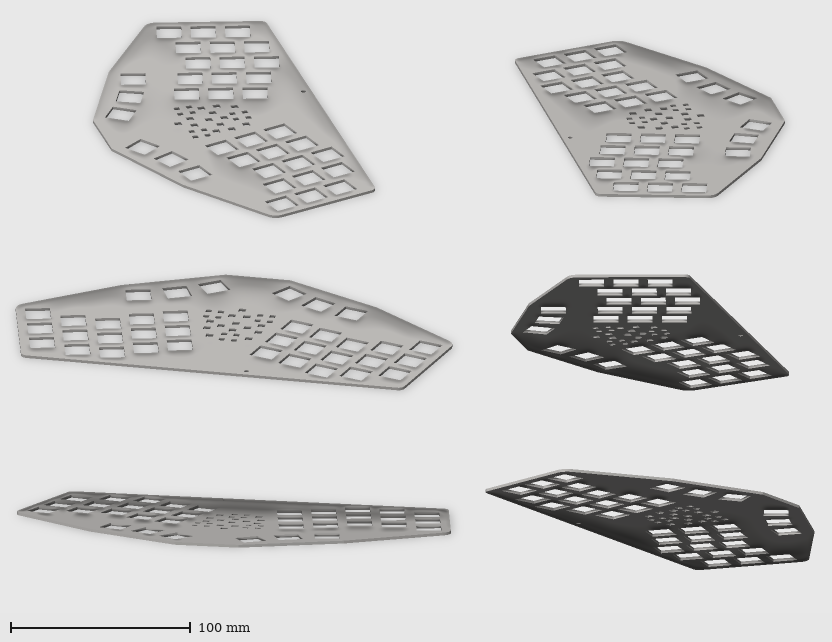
import cadquery as cq
import math

half_length = 124.0
half_depth = 63.5
thickness = 1.6
side_angle = 14.6
top_corner_radius = 3.7
side_corner_radius = 7.0
side_corner_y = 2.5
knee_x = 72.7
knee_y = -38.2
bottom_half_width = 18.4

key_size = 14.0
key_pitch = 19.0
key_tilt = 15.0
home_key = (64.5, 31.3)
column_shifts = [-7.5, -5.0, 0.0, -5.0, -15.1]
home_column = 2
rows = [-1, 0, 1]
thumb_keys = [(60.5, -27.5, 15.0), (40.2, -35.5, 25.0), (21.3, -46.5, 35.0)]

group_x = -0.2
small_size = 3.2
small_spacing_x = 7.0
small_spacing_y = 7.2
cluster_centers = [(0.0, 16.9), (-14.6, -11.2), (14.6, -11.2)]
medium_size = 4.0
medium_single_heights = [7.5, -1.5, -19.4]
medium_pairs = [(11.2, 16.9), (14.6, 7.5), (7.5, 3.0), (14.6, -1.5), (4.2, -11.2)]

pin_hole_diameter = 2.7
pin_hole_center = (-18.9, 59.0)


def make_plate():
    """Symmetric plate with leaning sides and a stepped lower edge."""
    lean = math.radians(side_angle)
    center_x = half_length - side_corner_radius

    reach_x = center_x - knee_x
    reach_y = side_corner_y - knee_y
    tangent_turn = math.asin(side_corner_radius / math.hypot(reach_x, reach_y))
    lower_slope = math.atan2(reach_y, reach_x) - tangent_turn
    lower_normal = lower_slope - math.pi / 2

    def corner_point(angle):
        """Point on the rounded side corner."""
        return (
            center_x + side_corner_radius * math.cos(angle),
            side_corner_y + side_corner_radius * math.sin(angle),
        )

    upper_tangent = corner_point(lean)
    lower_tangent = corner_point(lower_normal)
    corner_middle = corner_point(0.0)
    top_x = upper_tangent[0] - (half_depth - upper_tangent[1]) * math.tan(lean)

    def mirrored(point):
        return (-point[0], point[1])

    plate = (
        cq.Workplane("XY")
        .moveTo(-bottom_half_width, -half_depth)
        .lineTo(bottom_half_width, -half_depth)
        .lineTo(knee_x, knee_y)
        .lineTo(*lower_tangent)
        .threePointArc(corner_middle, upper_tangent)
        .lineTo(top_x, half_depth)
        .lineTo(-top_x, half_depth)
        .lineTo(*mirrored(upper_tangent))
        .threePointArc(mirrored(corner_middle), mirrored(lower_tangent))
        .lineTo(-knee_x, knee_y)
        .close()
        .extrude(thickness)
    )
    top_corners = cq.selectors.BoxSelector(
        (-half_length, half_depth - thickness, -thickness),
        (half_length, half_depth + thickness, 2 * thickness),
    )
    return plate.edges("|Z").edges(top_corners).fillet(top_corner_radius)


def right_hand_keys():
    """Centre and tilt of every key on the right half."""
    tilt = math.radians(key_tilt)
    keys = list(thumb_keys)
    for column, shift in enumerate(column_shifts):
        across = (column - home_column) * key_pitch
        for row in rows:
            along = shift + row * key_pitch
            x = home_key[0] + across * math.cos(tilt) - along * math.sin(tilt)
            y = home_key[1] + across * math.sin(tilt) + along * math.cos(tilt)
            keys.append((x, y, key_tilt))
    return keys


def square_cutter(x, y, size, tilt=0.0):
    square = cq.Workplane("XY").rect(size, size).extrude(thickness)
    return square.rotate((0, 0, 0), (0, 0, 1), tilt).translate((x, y, 0))


def cut_keys(plate):
    for x, y, tilt in right_hand_keys():
        plate = plate.cut(square_cutter(x, y, key_size, tilt))
        plate = plate.cut(square_cutter(-x, y, key_size, -tilt))
    return plate


def cut_central_group(plate):
    for center_x, center_y in cluster_centers:
        for side_x in (-0.5, 0.5):
            for side_y in (-0.5, 0.5):
                x = group_x + center_x + side_x * small_spacing_x
                y = center_y + side_y * small_spacing_y
                plate = plate.cut(square_cutter(x, y, small_size))
    for y in medium_single_heights:
        plate = plate.cut(square_cutter(group_x, y, medium_size))
    for half_spacing, y in medium_pairs:
        for side in (-1, 1):
            plate = plate.cut(square_cutter(group_x + side * half_spacing, y, medium_size))
    return plate


def cut_pin_hole(plate):
    hole = cq.Workplane("XY").center(*pin_hole_center).circle(pin_hole_diameter / 2).extrude(thickness)
    return plate.cut(hole)


result = cut_pin_hole(cut_central_group(cut_keys(make_plate())))